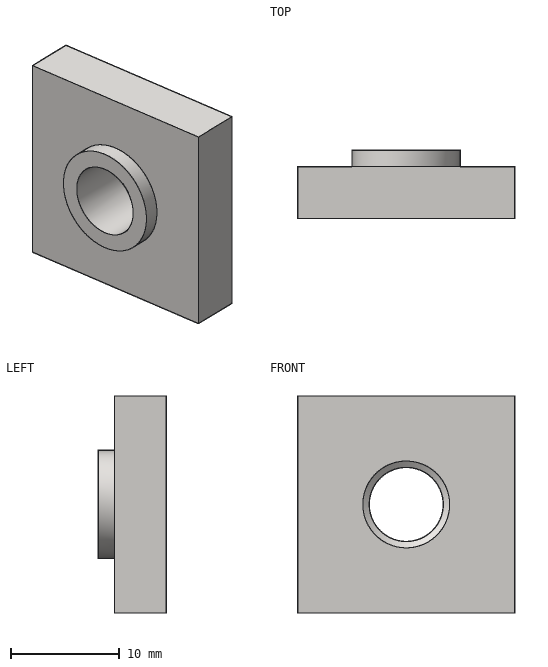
import cadquery as cq

plate_side = 20.0
plate_thickness = 4.8

boss_diameter = 10.0
boss_height = 1.5

hole_diameter = 6.8
countersink_diameter = 8.0
countersink_angle = 120.0

total_depth = plate_thickness + boss_height


def make_plate():
    return cq.Workplane("XY").box(
        plate_side, plate_thickness, plate_side, centered=(True, False, True)
    )


def add_boss(body):
    return body.faces(">Y").workplane().circle(boss_diameter / 2).extrude(boss_height)


def cut_countersunk_hole(body):
    return body.faces("<Y").workplane().cskHole(
        hole_diameter, countersink_diameter, countersink_angle, depth=total_depth
    )


result = cut_countersunk_hole(add_boss(make_plate()))